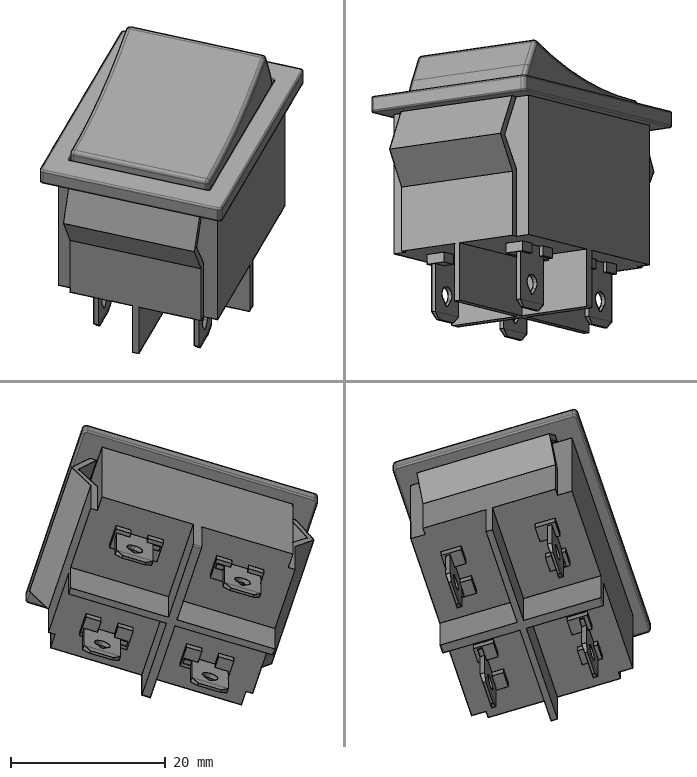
import cadquery as cq
import math


flange_x = 25.0
flange_y = 31.9
flange_thickness = 2.1
flange_corner_radius = 0.55
flange_edge_radius = 0.25
body_x = 21.88
body_y = 25.92
body_bottom = -20.45

clip_x = 17.98
clip_thickness = 0.9
clip_apex_y = 16.45
clip_apex_z = -7.42
clip_bend_z = -12.02
clip_inner_bend_z = -11.67
clip_top_y = 13.97

rib_bottom = -28.0
long_rib_thickness = 0.87
cross_rib_thickness = 1.15
cross_rib_edge_radius = 0.2

opening_x = 19.3
opening_y = 25.15
opening_corner_radius = 0.2
opening_edge_radius = 0.15

rocker_x = 19.1
rocker_radius = 12.45
rocker_tilt = 12.4
rocker_corner_height = 6.62
rocker_dish_depth = 1.32
rocker_edge_radius = 0.52
pivot_z = -2.8

opening_floor = pivot_z - rocker_radius * math.sin(math.radians(2 * rocker_tilt))

terminal_x = 6.9
terminal_y = 7.3
terminal_thickness = 0.63
terminal_width = 4.95
terminal_bottom = -28.9
terminal_chamfer = 0.9
tip_thickness_chamfer = 0.15
shoulder_inner_y = 3.83
shoulder_bottom = -22.02
hole_z = -25.47
hole_radius = 1.05
hole_tip_z = -26.72
hole_tip_radius = 0.28

block_inner_x = 5.0
block_outer_x = 7.75
block_y_starts = (3.62, 7.98)
block_y = 2.05
block_bottom = -21.75

QUADRANTS = [(sx, sy) for sx in (-1, 1) for sy in (-1, 1)]


def box_between(x0, x1, y0, y1, z0, z1):
    """Box between two opposite corners."""
    return cq.Workplane("XY").box(x1 - x0, y1 - y0, z1 - z0, centered=False).translate((x0, y0, z0))


def centred_box(size_x, size_y, z0, z1):
    """Box centred on the Z axis between two heights."""
    return box_between(-size_x / 2, size_x / 2, -size_y / 2, size_y / 2, z0, z1)


def place_in_quadrant(shape, sx, sy):
    """Mirror a shape from the +X +Y quadrant into another quadrant."""
    if sx < 0:
        shape = shape.mirror("YZ")
    if sy < 0:
        shape = shape.mirror("XZ")
    return shape


def make_flange():
    flange = centred_box(flange_x, flange_y, -flange_thickness, 0)
    flange = flange.edges("|Z").fillet(flange_corner_radius)
    return flange.faces("<Z or >Z").edges().fillet(flange_edge_radius)


def make_clip():
    """Bent strip on the +Y end, standing clear of the body between flange and bend."""
    wall_y = body_y / 2
    plate_y = wall_y + clip_thickness
    return (
        cq.Workplane("YZ")
        .moveTo(clip_top_y, -flange_thickness)
        .lineTo(clip_apex_y, clip_apex_z)
        .lineTo(plate_y, clip_bend_z)
        .lineTo(plate_y, body_bottom)
        .lineTo(wall_y, body_bottom)
        .lineTo(wall_y, clip_inner_bend_z)
        .lineTo(clip_apex_y - clip_thickness, clip_apex_z)
        .lineTo(clip_top_y - clip_thickness, -flange_thickness)
        .close()
        .extrude(clip_x / 2, both=True)
    )


def make_ribs():
    long_rib = centred_box(long_rib_thickness, body_y + 2 * clip_thickness, rib_bottom, body_bottom)
    cross_rib = centred_box(body_x, cross_rib_thickness, rib_bottom, body_bottom)
    cross_rib = cross_rib.faces("<Z").edges("|Y").fillet(cross_rib_edge_radius)
    return long_rib.union(cross_rib)


def make_guide_blocks():
    """Pair of blocks that straddle the terminal in the +X +Y quadrant."""
    blocks = cq.Workplane("XY")
    for y0 in block_y_starts:
        blocks = blocks.union(
            box_between(block_inner_x, block_outer_x, y0, y0 + block_y, block_bottom, body_bottom)
        )
    return blocks


def make_terminal():
    """Spade terminal of the +X +Y quadrant, with its shoulder on the inner side."""
    y_inner = terminal_y - terminal_width / 2
    y_outer = terminal_y + terminal_width / 2
    chamfer_top = terminal_bottom + terminal_chamfer
    half = terminal_thickness / 2
    blade = (
        cq.Workplane("YZ")
        .moveTo(shoulder_inner_y, body_bottom)
        .lineTo(shoulder_inner_y, shoulder_bottom)
        .lineTo(y_inner, shoulder_bottom)
        .lineTo(y_inner, chamfer_top)
        .lineTo(y_inner + terminal_chamfer, terminal_bottom)
        .lineTo(y_outer - terminal_chamfer, terminal_bottom)
        .lineTo(y_outer, chamfer_top)
        .lineTo(y_outer, body_bottom)
        .close()
        .extrude(half, both=True)
    )
    tip_half = half - tip_thickness_chamfer
    tapered_section = (
        cq.Workplane("XZ")
        .polyline([
            (-half, body_bottom),
            (-half, chamfer_top),
            (-tip_half, terminal_bottom),
            (tip_half, terminal_bottom),
            (half, chamfer_top),
            (half, body_bottom),
        ])
        .close()
        .extrude(-y_outer)
    )
    blade = blade.intersect(tapered_section).cut(make_terminal_hole())
    return blade.translate((terminal_x, 0, 0))


def make_terminal_hole():
    """Teardrop: a large and a small circle joined by their common tangents."""
    sine = (hole_radius - hole_tip_radius) / (hole_z - hole_tip_z)
    cosine = math.sqrt(1 - sine ** 2)

    def tangent_point(side, centre_z, radius):
        return (terminal_y + side * radius * cosine, centre_z - radius * sine)

    return (
        cq.Workplane("YZ")
        .moveTo(*tangent_point(-1, hole_z, hole_radius))
        .threePointArc((terminal_y, hole_z + hole_radius), tangent_point(1, hole_z, hole_radius))
        .lineTo(*tangent_point(1, hole_tip_z, hole_tip_radius))
        .threePointArc(
            (terminal_y, hole_tip_z - hole_tip_radius),
            tangent_point(-1, hole_tip_z, hole_tip_radius),
        )
        .close()
        .extrude(terminal_thickness, both=True)
    )


def make_rocker():
    """Rocker with arced ends about the pivot, flats tangent to them and a dished top."""
    tilt = math.radians(rocker_tilt)

    def on_end_arc(angle):
        return (rocker_radius * math.cos(angle), rocker_radius * math.sin(angle))

    flat_y, flat_z = on_end_arc(tilt)
    corner_y = flat_y - (rocker_corner_height - flat_z) * math.tan(tilt)
    rocker = (
        cq.Workplane("YZ")
        .moveTo(-flat_y, -flat_z)
        .lineTo(flat_y, -flat_z)
        .threePointArc((rocker_radius, 0), (flat_y, flat_z))
        .lineTo(corner_y, rocker_corner_height)
        .threePointArc((0, rocker_corner_height - rocker_dish_depth), (-corner_y, rocker_corner_height))
        .lineTo(-flat_y, flat_z)
        .threePointArc((-rocker_radius, 0), (-flat_y, -flat_z))
        .close()
        .extrude(rocker_x / 2, both=True)
    )
    side_edges = rocker.faces("<X or >X").edges("not <Z").vals()
    corner_edges = rocker.edges("|X").edges(">Z").vals()
    rocker = rocker.newObject(side_edges + corner_edges).fillet(rocker_edge_radius)
    return rocker.rotate((0, 0, 0), (1, 0, 0), rocker_tilt).translate((0, 0, pivot_z))


def cut_opening(housing):
    """Recess for the rocker, with its rim rounded over into the flange."""
    opening = centred_box(opening_x, opening_y, opening_floor, 0)
    opening = opening.edges("|Z").fillet(opening_corner_radius)
    housing = housing.cut(opening)
    rim = housing.newObject(housing.faces(">Z").val().innerWires()).edges()
    return rim.fillet(opening_edge_radius)


def make_housing(terminals):
    housing = make_flange().union(centred_box(body_x, body_y, body_bottom, -flange_thickness))
    housing = housing.union(make_clip()).union(make_clip().mirror("XZ")).union(make_ribs())
    for sx, sy in QUADRANTS:
        housing = housing.union(place_in_quadrant(make_guide_blocks(), sx, sy))
    housing = cut_opening(housing)
    for terminal in terminals:
        housing = housing.cut(terminal)
    return housing


terminals = [place_in_quadrant(make_terminal(), sx, sy) for sx, sy in QUADRANTS]
housing = make_housing(terminals)
rocker = make_rocker()

result = cq.Compound.makeCompound(
    [housing.val(), rocker.val(), *[terminal.val() for terminal in terminals]]
)